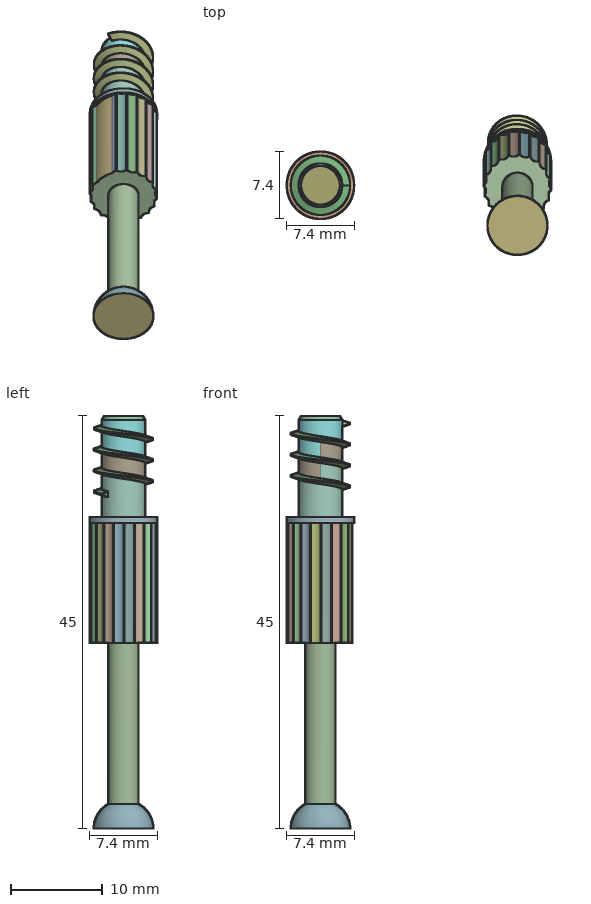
import cadquery as cq
import math

TOTAL_LENGTH = 45.0
SLEEVE_TOP = 33.98
SLEEVE_BOTTOM = 20.25

HEAD_RADIUS = 3.3
HEAD_HEIGHT = 2.7
HEAD_MIDDLE_RADIUS = 2.85
HEAD_MIDDLE_HEIGHT = 1.58
ROD_RADIUS = 1.65
SHANK_RADIUS = 2.4
TIP_CHAMFER_HEIGHT = 0.45
TIP_CHAMFER_WIDTH = 0.25

THREAD_RADIUS = 3.25
THREAD_PITCH = 2.3
THREAD_TURNS = 3.375
THREAD_TOP = 44.2
THREAD_START_ANGLE = 135.0
THREAD_ROOT_WIDTH = 0.65
THREAD_CREST_WIDTH = 0.1
THREAD_EMBED = 0.15

SEAM_ANGLE = -90.0

SLEEVE_RADIUS = 3.7
FLANGE_THICKNESS = 0.68
RIB_COUNT = 20
FIRST_RIB = 1
LAST_RIB = 18
RIB_LAND_WIDTH = 0.15
FLUTE_DEPTH = 0.22

RIB_STEP = 360 / RIB_COUNT
LAND_ANGLE = math.degrees(RIB_LAND_WIDTH / SLEEVE_RADIUS)


def make_blank():
    """Head, rod and shank as one turned shape."""
    return (
        cq.Workplane("XZ")
        .moveTo(0, 0)
        .lineTo(HEAD_RADIUS, 0)
        .threePointArc((HEAD_MIDDLE_RADIUS, HEAD_MIDDLE_HEIGHT), (ROD_RADIUS, HEAD_HEIGHT))
        .lineTo(ROD_RADIUS, SLEEVE_TOP)
        .lineTo(SHANK_RADIUS, SLEEVE_TOP)
        .lineTo(SHANK_RADIUS, TOTAL_LENGTH - TIP_CHAMFER_HEIGHT)
        .lineTo(SHANK_RADIUS - TIP_CHAMFER_WIDTH, TOTAL_LENGTH)
        .lineTo(0, TOTAL_LENGTH)
        .close()
        .revolve(360, (0, 0), (0, 1))
        .rotate((0, 0, 0), (0, 0, 1), SEAM_ANGLE)
    )


def make_thread():
    """Tapered ridge swept up a left-handed helix, rooted slightly inside the shank."""
    height = THREAD_PITCH * THREAD_TURNS
    helix = cq.Wire.makeHelix(THREAD_PITCH, height, SHANK_RADIUS, lefthand=True)
    flank_slope = (THREAD_ROOT_WIDTH - THREAD_CREST_WIDTH) / 2 / (THREAD_RADIUS - SHANK_RADIUS)
    inner_radius = SHANK_RADIUS - THREAD_EMBED
    inner_half_width = THREAD_ROOT_WIDTH / 2 + THREAD_EMBED * flank_slope
    ridge = (
        cq.Workplane("XZ")
        .moveTo(inner_radius, -inner_half_width)
        .lineTo(THREAD_RADIUS, -THREAD_CREST_WIDTH / 2)
        .lineTo(THREAD_RADIUS, THREAD_CREST_WIDTH / 2)
        .lineTo(inner_radius, inner_half_width)
        .close()
        .sweep(cq.Workplane(obj=helix), isFrenet=True)
    )
    turned = ridge.rotate((0, 0, 0), (0, 0, 1), THREAD_START_ANGLE)
    return turned.translate((0, 0, THREAD_TOP - height))


def on_circle(radius, angle):
    """Point at a radius and an angle in degrees from +X."""
    return (radius * math.cos(math.radians(angle)), radius * math.sin(math.radians(angle)))


def make_fluted_body():
    """Ribs with narrow lands and concave flutes, interrupted by a plain stretch around +X."""
    root_radius = SLEEVE_RADIUS - FLUTE_DEPTH
    half_flute = (RIB_STEP - LAND_ANGLE) / 2
    plain_end = FIRST_RIB * RIB_STEP - half_flute
    plain_start = LAST_RIB * RIB_STEP + LAND_ANGLE + half_flute - 360
    plain_middle = (plain_start + plain_end) / 2
    outline = cq.Workplane("XY", origin=(0, 0, SLEEVE_BOTTOM)).moveTo(*on_circle(root_radius, plain_end))
    for rib in range(FIRST_RIB, LAST_RIB + 1):
        land_start = rib * RIB_STEP
        land_end = land_start + LAND_ANGLE
        if rib == FIRST_RIB:
            outline = outline.lineTo(*on_circle(SLEEVE_RADIUS, land_start))
        else:
            outline = outline.threePointArc(
                on_circle(root_radius, land_start - half_flute),
                on_circle(SLEEVE_RADIUS, land_start),
            )
        outline = outline.threePointArc(
            on_circle(SLEEVE_RADIUS, land_start + LAND_ANGLE / 2),
            on_circle(SLEEVE_RADIUS, land_end),
        )
    outline = outline.lineTo(*on_circle(root_radius, plain_start))
    outline = outline.threePointArc(
        on_circle(root_radius, plain_middle), on_circle(root_radius, plain_end)
    ).close()
    return outline.extrude(SLEEVE_TOP - FLANGE_THICKNESS - SLEEVE_BOTTOM)


def make_pin():
    return make_blank().union(make_thread())


def make_sleeve():
    """Fluted body and flange, bored through to fit the rod."""
    flange = (
        cq.Workplane("XY", origin=(0, 0, SLEEVE_TOP - FLANGE_THICKNESS))
        .circle(SLEEVE_RADIUS)
        .extrude(FLANGE_THICKNESS)
    )
    bore = (
        cq.Workplane("XY", origin=(0, 0, SLEEVE_BOTTOM))
        .circle(ROD_RADIUS)
        .extrude(SLEEVE_TOP - SLEEVE_BOTTOM)
    )
    return make_fluted_body().union(flange).cut(bore)


pin = make_pin()
sleeve = make_sleeve()
result = cq.Compound.makeCompound([pin.solids().val(), sleeve.solids().val()])